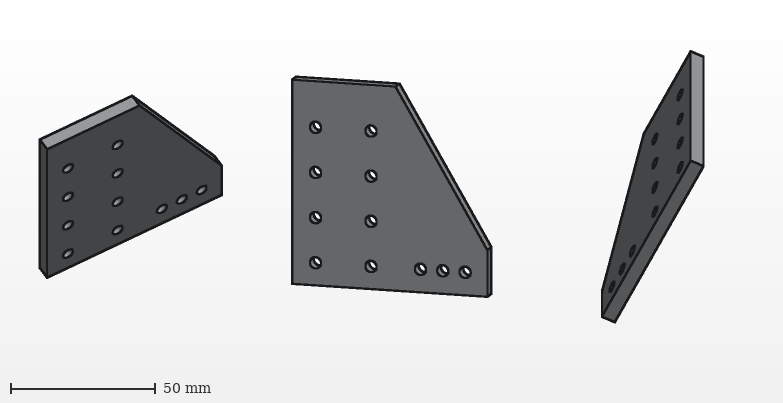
import cadquery as cq

thickness = 5.0
width = 70.3
height = 72.4

short_side_height = 16.6
top_side_width = 37.2

hole_diameter = 4.0
grid_columns = 2
grid_rows = 4
column_pitch = 20.0
row_pitch = 16.0
grid_edge_y = 8.4
grid_edge_z = 8.05
row_hole_count = 3
row_hole_pitch = 8.05
row_edge_y = 8.05
row_edge_z = 8.2


def plate():
    """Rectangular plate with one corner cut off by the sloped edge."""
    outline = [
        (0, 0),
        (width, 0),
        (width, short_side_height),
        (top_side_width, height),
        (0, height),
    ]
    return cq.Workplane("YZ").polyline(outline).close().extrude(thickness)


def through_holes(centers):
    """Cylinders that pass through the full plate thickness."""
    return cq.Workplane("YZ").pushPoints(centers).circle(hole_diameter / 2).extrude(thickness)


grid_centers = [
    (grid_edge_y + column * column_pitch, grid_edge_z + row * row_pitch)
    for column in range(grid_columns)
    for row in range(grid_rows)
]
row_centers = [
    (width - row_edge_y - index * row_hole_pitch, row_edge_z)
    for index in range(row_hole_count)
]

result = plate().cut(through_holes(grid_centers + row_centers))